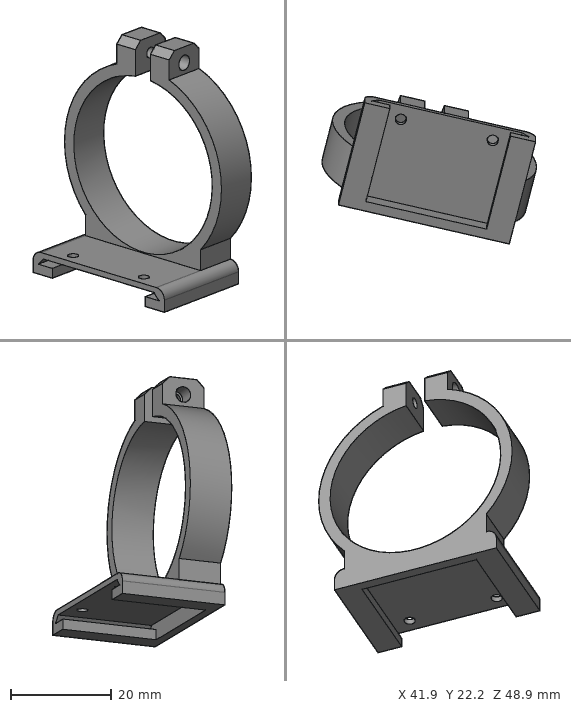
import cadquery as cq

total_height = 48.9
total_depth = 22.25

ring_radius = 20.95
ring_wall = 2.5
bore_radius = ring_radius - ring_wall
ring_depth = 9.0
ring_front = total_depth - ring_depth
ring_mid = ring_front + ring_depth / 2
ring_center_z = 23.35

base_width = 35.0
base_height = 4.75
base_fillet = 2.15
slot_opening = 24.75
slot_width = 32.2
slot_ceiling_width = 29.45
slot_ceiling_z = 3.5
lip_height = 2.1
end_wall = 2.0
slot_length = total_depth - end_wall

pedestal_width = base_width - 2 * base_fillet

ear_span = 14.0
ear_gap = 4.0
ear_chamfer = 1.55
screw_z = 45.55
screw_hole = 2.2
head_recess = 4.1
head_recess_depth = 2.85
insert_bore = 3.2
insert_depth = 4.0

mount_hole = 2.2
mount_spacing = 18.85
mount_y = 2.95


def box_between(width, y_start, y_end, z_start, z_end):
    """Box centred on X, spanning the given Y and Z ranges."""
    box = cq.Workplane("XY").box(width, y_end - y_start, z_end - z_start, centered=(True, False, False))
    return box.translate((0, y_start, z_start))


def y_cylinder(radius):
    """Cylinder on the ring axis, as deep as the ring."""
    axis_start = cq.Vector(0, ring_front, ring_center_z)
    return cq.Workplane(cq.Solid.makeCylinder(radius, ring_depth, axis_start, cq.Vector(0, 1, 0)))


def x_cylinder(diameter, x_start, x_end):
    """Cylinder on the clamp screw axis."""
    axis_start = cq.Vector(x_start, ring_mid, screw_z)
    return cq.Workplane(
        cq.Solid.makeCylinder(diameter / 2, x_end - x_start, axis_start, cq.Vector(1, 0, 0))
    )


def make_base():
    """Plate with rounded upper sides and two mounting holes."""
    base = box_between(base_width, 0, total_depth, 0, base_height)
    base = base.edges("|Y and >Z").fillet(base_fillet)
    mount_holes = (
        cq.Workplane("XY")
        .pushPoints([(-mount_spacing / 2, mount_y), (mount_spacing / 2, mount_y)])
        .circle(mount_hole / 2)
        .extrude(base_height)
    )
    return base.cut(mount_holes)


def make_slot():
    """Space of the slot, open at the front and closed at the back by the end wall."""
    return (
        cq.Workplane("XZ")
        .moveTo(-slot_opening / 2, 0)
        .lineTo(-slot_opening / 2, lip_height)
        .lineTo(-slot_width / 2, lip_height)
        .lineTo(-slot_ceiling_width / 2, slot_ceiling_z)
        .lineTo(slot_ceiling_width / 2, slot_ceiling_z)
        .lineTo(slot_width / 2, lip_height)
        .lineTo(slot_opening / 2, lip_height)
        .lineTo(slot_opening / 2, 0)
        .close()
        .extrude(-slot_length)
    )


def make_clamp():
    """Split ring with its pedestal and two ears."""
    ears = box_between(ear_span, ring_front, total_depth, ring_center_z, total_height)
    ears = ears.edges("|X and >Z").chamfer(ear_chamfer)
    pedestal = box_between(pedestal_width, ring_front, total_depth, base_height, ring_center_z)
    shoulder_rise = (ring_radius**2 - (pedestal_width / 2) ** 2) ** 0.5
    pedestal = pedestal.cut(
        box_between(pedestal_width, ring_front, total_depth, ring_center_z - shoulder_rise, ring_center_z)
    )
    gap = box_between(ear_gap, ring_front, total_depth, ring_center_z, total_height)
    clamp = y_cylinder(ring_radius).union(pedestal).union(ears)
    return clamp.cut(y_cylinder(bore_radius)).cut(gap)


def cut_screw_holes(body):
    """Screw hole with a head recess in the -X ear and a wider bore in the +X ear."""
    ear_outer = ear_span / 2
    head_floor = -ear_outer + head_recess_depth
    insert_floor = ear_outer - insert_depth
    body = body.cut(x_cylinder(screw_hole, -ear_outer, ear_outer))
    body = body.cut(x_cylinder(head_recess, -ear_outer, head_floor))
    return body.cut(x_cylinder(insert_bore, insert_floor, ear_outer))


body = make_base().union(make_clamp())
body = body.cut(make_slot())
result = cut_screw_holes(body)